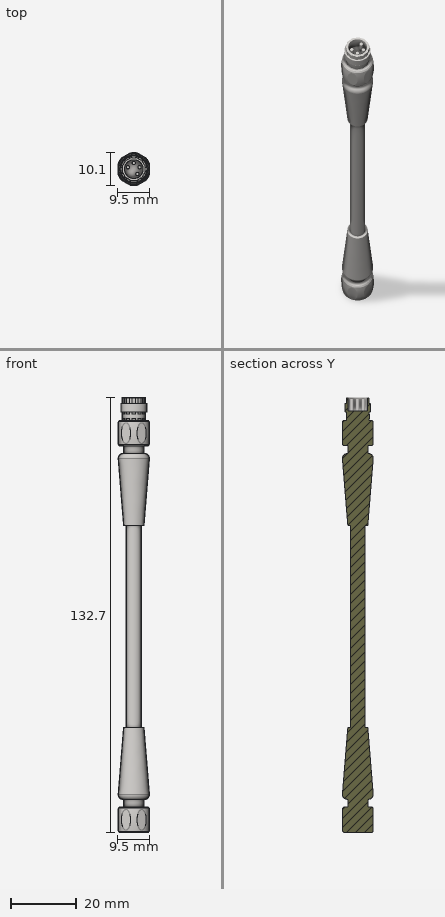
import cadquery as cq
import math

total_length = 132.7
cable_diameter = 4.6

nut_height = 7.8
nut_corner_diameter = 10.1
nut_edge_diameter = 9.4
nut_chamfer = 0.4
nut_across_flats = 9.5

shaft_length = 2.3
shaft_diameter = 6.2

boot_length = 22.0
boot_diameter = 9.5
boot_tip_diameter = 6.2
boot_shoulder_radius = 1.6

plug_height = 6.9
plug_diameter = 7.2
socket_diameter = 5.7
socket_depth = 4.0
collar_diameter = 8.0
collar_height = 2.7
collar_drop = 1.7

groove_count = 12
groove_width = 1.0
groove_floor_diameter = 6.9

band_height = 1.3
band_drop = 5.0

pin_diameter = 1.0
pin_circle_radius = 1.9
pin_drop = 0.5
pin_angles = [90 + 72 * place for place in (-2, -1, 0, 1)]


def cylinder(diameter, height, bottom):
    return cq.Workplane("XY").workplane(offset=bottom).circle(diameter / 2).extrude(height)


def barrel_nut(bottom):
    """Barrel with a bulged side, cut by six flats; two flats face +X and -X."""
    edge_radius = nut_edge_diameter / 2
    end_radius = edge_radius - nut_chamfer
    top = bottom + nut_height
    barrel = (
        cq.Workplane("XZ")
        .moveTo(0, bottom)
        .lineTo(end_radius, bottom)
        .lineTo(edge_radius, bottom + nut_chamfer)
        .threePointArc(
            (nut_corner_diameter / 2, bottom + nut_height / 2),
            (edge_radius, top - nut_chamfer),
        )
        .lineTo(end_radius, top)
        .lineTo(0, top)
        .close()
        .revolve(360, (0, 0, 0), (0, 1, 0))
    )
    hexagon = (
        cq.Workplane("XY")
        .workplane(offset=bottom)
        .transformed(rotate=(0, 0, 30))
        .polygon(6, nut_across_flats / math.cos(math.pi / 6))
        .extrude(nut_height)
    )
    return barrel.intersect(hexagon)


def boot(shoulder_z, direction):
    """Round-shouldered cone, running from its shoulder along +Z or -Z (direction 1 or -1)."""
    radius = boot_diameter / 2
    flat_radius = radius - boot_shoulder_radius
    widest_z = shoulder_z + direction * boot_shoulder_radius
    tip_z = shoulder_z + direction * boot_length
    reach = boot_shoulder_radius * math.sqrt(0.5)
    middle = (flat_radius + reach, widest_z - direction * reach)
    return (
        cq.Workplane("XZ")
        .moveTo(0, shoulder_z)
        .lineTo(flat_radius, shoulder_z)
        .threePointArc(middle, (radius, widest_z))
        .lineTo(boot_tip_diameter / 2, tip_z)
        .lineTo(0, tip_z)
        .close()
        .revolve(360, (0, 0, 0), (0, 1, 0))
    )


def plug():
    """Hollow plug with a grooved wall, a retaining collar and contact pins."""
    body = cylinder(plug_diameter, plug_height, total_length - plug_height)
    groove_depth = (plug_diameter - groove_floor_diameter) / 2
    grooves = (
        cq.Workplane("XY")
        .workplane(offset=total_length - plug_height)
        .polarArray(plug_diameter / 2, 0, 360, groove_count)
        .rect(2 * groove_depth, groove_width)
        .extrude(plug_height)
    )
    collar = cylinder(collar_diameter, collar_height, total_length - collar_drop - collar_height)
    band = cylinder(plug_diameter, band_height, total_length - band_drop - band_height)
    socket = cylinder(socket_diameter, socket_depth, total_length - socket_depth)
    pins = (
        cq.Workplane("XY")
        .workplane(offset=total_length - socket_depth)
        .pushPoints(
            [
                (
                    pin_circle_radius * math.cos(math.radians(angle)),
                    pin_circle_radius * math.sin(math.radians(angle)),
                )
                for angle in pin_angles
            ]
        )
        .circle(pin_diameter / 2)
        .extrude(socket_depth - pin_drop)
    )
    return body.cut(grooves).union(collar).union(band).cut(socket).union(pins)


upper_nut_bottom = total_length - plug_height - nut_height
lower_boot_start = nut_height + shaft_length
upper_boot_start = upper_nut_bottom - shaft_length
cable_start = lower_boot_start + boot_length
cable_length = upper_boot_start - boot_length - cable_start

result = (
    barrel_nut(0)
    .union(cylinder(shaft_diameter, shaft_length, nut_height))
    .union(boot(lower_boot_start, 1))
    .union(cylinder(cable_diameter, cable_length, cable_start))
    .union(boot(upper_boot_start, -1))
    .union(cylinder(shaft_diameter, shaft_length, upper_boot_start))
    .union(barrel_nut(upper_nut_bottom))
    .union(plug())
)